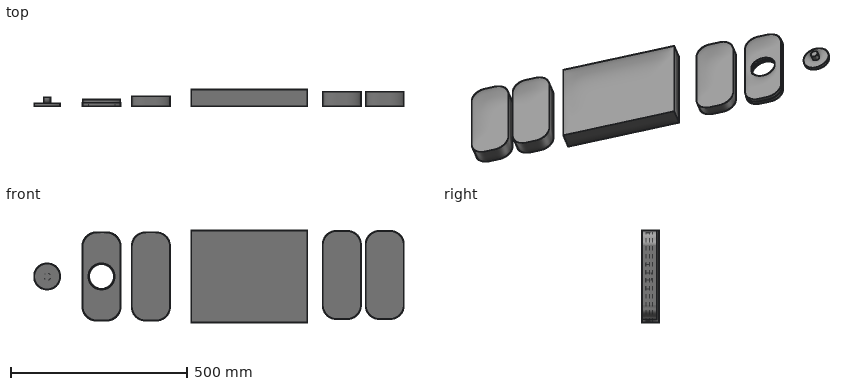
import cadquery as cq

total_length = 1051.0

disc_diameter = 75.0
disc_thickness = 9.0
stem_diameter = 20.0
stem_tip_length = 4.0
knob_depth = 26.0
knob_center_x = disc_diameter / 2

plate_width = 109.0
plate_height = 251.0
plate_corner_radius = 40.0
front_layer_depth = 10.0

knob_to_open_plate = 155.0
open_plate_center_x = knob_center_x + knob_to_open_plate
open_plate_depth = 20.0
open_plate_rear_inset = 1.0
recess_diameter = disc_diameter
recess_depth = front_layer_depth
opening_diameter = 70.0

medium_plate_center_x = 332.0
medium_plate_depth = 29.0

block_center_x = 612.0
block_width = 330.0
block_depth = 48.0
block_height = 262.0

thick_plate_depth = 42.0
thick_plate_gap = 13.0
thick_plate_center_z = 4.0
last_plate_center_x = total_length - plate_width / 2
thick_plate_centers_x = [last_plate_center_x - plate_width - thick_plate_gap, last_plate_center_x]


def facing_rear(x, y=0, z=0):
    """Workplane parallel to XZ whose extrusions grow toward +Y."""
    return cq.Workplane(cq.Plane(origin=(x, y, z), xDir=(1, 0, 0), normal=(0, 1, 0)))


def make_knob():
    tip_start = knob_depth - stem_tip_length
    disc = facing_rear(knob_center_x).circle(disc_diameter / 2).extrude(disc_thickness)
    stem = facing_rear(knob_center_x).circle(stem_diameter / 2).extrude(tip_start)
    tip = facing_rear(knob_center_x, tip_start).circle(stem_diameter / 2).extrude(stem_tip_length)
    return disc.union(stem).union(tip, clean=False).solids()


def make_layer(x, y, z, depth, inset=0):
    """Rounded slab; the inset shrinks its outline on every side."""
    outline = facing_rear(x, y, z).rect(plate_width - 2 * inset, plate_height - 2 * inset)
    return outline.extrude(depth).edges("|Y").fillet(plate_corner_radius)


def make_plate(x, z, depth, rear_inset=0):
    """One solid with a front and a rear layer; the edge between the layers is kept."""
    front = make_layer(x, 0, z, front_layer_depth)
    rear = make_layer(x, front_layer_depth, z, depth - front_layer_depth, rear_inset)
    return front.union(rear, clean=False).solids()


def make_open_plate():
    plate = make_plate(open_plate_center_x, 0, open_plate_depth, open_plate_rear_inset)
    recess = facing_rear(open_plate_center_x).circle(recess_diameter / 2).extrude(recess_depth)
    opening = facing_rear(open_plate_center_x).circle(opening_diameter / 2).extrude(open_plate_depth)
    return plate.cut(recess, clean=False).cut(opening, clean=False).solids()


def make_block():
    return facing_rear(block_center_x).rect(block_width, block_height).extrude(block_depth)


knob = make_knob()
open_plate = make_open_plate()
medium_plate = make_plate(medium_plate_center_x, 0, medium_plate_depth)
block = make_block()
thick_plates = []
for center_x in thick_plate_centers_x:
    thick_plates.append(make_plate(center_x, thick_plate_center_z, thick_plate_depth).val())

result = cq.Compound.makeCompound(
    [knob.val(), open_plate.val(), medium_plate.val(), block.val(), *thick_plates]
)